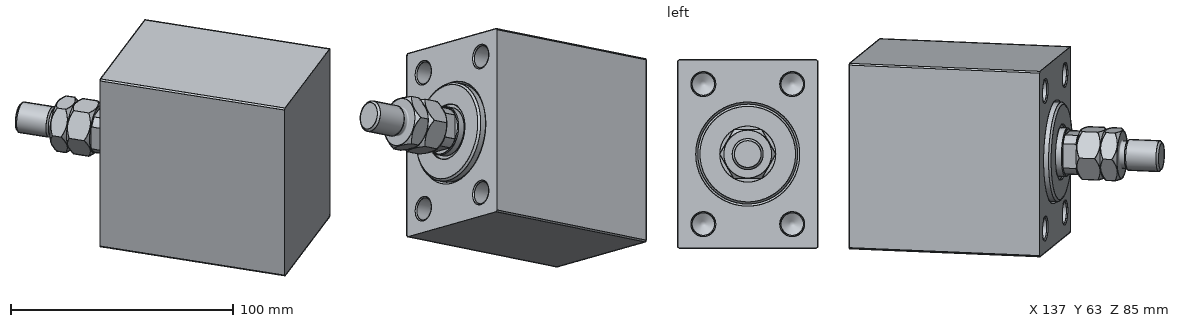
import cadquery as cq
import math


overall_length = 137.0
block_length = 88.0
block_width = 63.0
block_height = 85.0
block_edge_chamfer = 0.7

hole_spacing_y = 40.0
hole_spacing_z = 63.0
hole_diameter = 10.1
hole_mouth_diameter = 11.2
hole_depth = 24.7
drill_point_angle = 118.0

gland_diameter = 45.0
gland_projection = 3.0
gland_depth = 27.4
gland_chamfer = 1.0
gland_bore_chamfer = 1.0
rod_recess_diameter = 25.2
rod_recess_depth = 0.8

rod_diameter = 22.0
rod_end_x = -12.0
neck_start_x = -5.8
neck_diameter = 21.1
rod_flat_width = 18.0
rod_chamfer = 0.4

thread_diameter = 14.0
thread_chamfer = 1.0
tail_length = 20.0
hex_width = 21.9
hex_face_diameter = 21.5
front_hex_length = 8.0
rear_hex_length = 11.0
undercut_diameter = 12.3
undercut_length = 3.2
undercut_fillet = 0.5

stud_tip_x = block_length - overall_length
tail_end_x = rod_end_x + tail_length
hex_joint_x = rod_end_x - rear_hex_length
shoulder_x = hex_joint_x - front_hex_length
undercut_start_x = shoulder_x - undercut_length


def cylinder(diameter, start_x, end_x):
    """Cylinder on the rod axis between two X positions."""
    return cq.Workplane("YZ", origin=(start_x, 0, 0)).circle(diameter / 2).extrude(end_x - start_x)


def revolve_about_x(profile):
    """Turn a closed profile, drawn as (x, radius), about the rod axis."""
    return profile.close().revolve(360, (0, 0, 0), (1, 0, 0))


def mounting_hole():
    """Blind drilled hole with a conical bottom and a 45 degree chamfered mouth."""
    radius = hole_diameter / 2
    mouth_radius = hole_mouth_diameter / 2
    mouth_depth = mouth_radius - radius
    point_depth = radius / math.tan(math.radians(drill_point_angle / 2))
    profile = (
        cq.Workplane("XY")
        .moveTo(0, 0)
        .lineTo(0, mouth_radius)
        .lineTo(mouth_depth, radius)
        .lineTo(hole_depth, radius)
        .lineTo(hole_depth + point_depth, 0)
    )
    return revolve_about_x(profile)


def make_block():
    """Rectangular block with four mounting holes and a chamfered seat for the gland."""
    block = (
        cq.Workplane("YZ")
        .rect(block_width, block_height)
        .extrude(block_length)
        .edges("|X")
        .chamfer(block_edge_chamfer)
    )
    gland_seat = cylinder(gland_diameter, 0, gland_depth)
    gland_radius = gland_diameter / 2
    seat_mouth = revolve_about_x(
        cq.Workplane("XY")
        .moveTo(0, 0)
        .lineTo(0, gland_radius + gland_bore_chamfer)
        .lineTo(gland_bore_chamfer, gland_radius)
        .lineTo(gland_bore_chamfer, 0)
    )
    block = block.cut(gland_seat).cut(seat_mouth)
    for side_y in (-1, 1):
        for side_z in (-1, 1):
            place = (0, side_y * hole_spacing_y / 2, side_z * hole_spacing_z / 2)
            block = block.cut(mounting_hole().translate(place))
    return block


def make_gland():
    """Round gland with a chamfered rim, a bore for the rod and a shallow recess around it."""
    gland = cylinder(gland_diameter, -gland_projection, gland_depth)
    gland = gland.faces("<X").edges().chamfer(gland_chamfer)
    rod_bore = cylinder(rod_diameter, -gland_projection, gland_depth)
    recess = cylinder(rod_recess_diameter, -gland_projection, rod_recess_depth - gland_projection)
    return gland.cut(rod_bore).cut(recess)


def make_rod():
    """Piston rod with a four-flat neck and a blind hole for the tail of the stud."""
    collar = cylinder(rod_diameter, neck_start_x, gland_depth).faces("<X").edges().chamfer(rod_chamfer)
    neck = cylinder(neck_diameter, rod_end_x, neck_start_x).faces("<X").edges().chamfer(rod_chamfer)
    four_flats = (
        cq.Workplane("YZ", origin=(rod_end_x, 0, 0))
        .rect(rod_flat_width, rod_flat_width)
        .extrude(neck_start_x - rod_end_x)
    )
    stud_hole = cylinder(thread_diameter, rod_end_x, tail_end_x)
    return collar.union(neck.intersect(four_flats)).cut(stud_hole)


def make_hexagon(start_x, length):
    """Hexagon with flats facing up and down and both ends turned to 45 degrees."""
    corner_diameter = hex_width / math.cos(math.pi / 6)
    corner_chamfer = (corner_diameter - hex_face_diameter) / 2
    prism = cq.Workplane("YZ", origin=(start_x, 0, 0)).polygon(6, corner_diameter).extrude(length)
    envelope = cylinder(corner_diameter, start_x, start_x + length)
    envelope = envelope.faces("<X or >X").edges().chamfer(corner_chamfer)
    return prism.intersect(envelope)


def make_stud():
    """Stud with a chamfered, undercut front thread, two hexagons and a tail that enters the rod."""
    thread_radius = thread_diameter / 2
    undercut_radius = undercut_diameter / 2
    undercut_slope = thread_radius - undercut_radius
    fillet_middle = undercut_fillet * (1 - math.sqrt(0.5))
    shank = revolve_about_x(
        cq.Workplane("XY")
        .moveTo(stud_tip_x, 0)
        .lineTo(stud_tip_x, thread_radius - thread_chamfer)
        .lineTo(stud_tip_x + thread_chamfer, thread_radius)
        .lineTo(undercut_start_x, thread_radius)
        .lineTo(undercut_start_x + undercut_slope, undercut_radius)
        .lineTo(shoulder_x - undercut_fillet, undercut_radius)
        .threePointArc(
            (shoulder_x - fillet_middle, undercut_radius + fillet_middle),
            (shoulder_x, undercut_radius + undercut_fillet),
        )
        .lineTo(shoulder_x, thread_radius)
        .lineTo(tail_end_x, thread_radius)
        .lineTo(tail_end_x, 0)
    )
    front_hexagon = make_hexagon(shoulder_x, front_hex_length)
    rear_hexagon = make_hexagon(hex_joint_x, rear_hex_length)
    return front_hexagon.union(rear_hexagon).union(shank)


block = make_block()
gland = make_gland()
rod = make_rod()
stud = make_stud()

bodies = [block, gland, rod, stud]
result = cq.Compound.makeCompound([body.solids().val() for body in bodies])